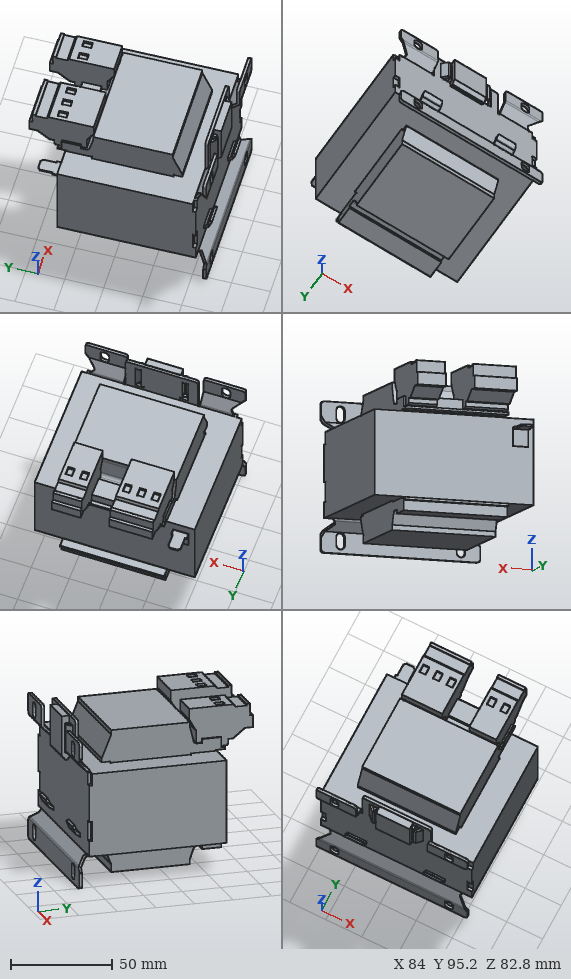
import cadquery as cq
import math


core_width = 84.0
core_length = 69.6
core_height = 43.0
core_top = core_height / 2
yoke_length = 13.9
window_width = 56.0
window_front = yoke_length
window_back = core_length - yoke_length

coil_width = 54.6
coil_gap = 0.4
coil_base = core_top + coil_gap
coil_crown_front = 14.4
coil_crown_back = 55.2
coil_back_flare = 2.3
upper_overhang = (38.2, 9.4, 23.9, 35.9, 35.6)
lower_overhang = (35.9, 10.6, 22.4, 31.8, 33.3)
bobbin_end = 73.5
bobbin_lip_thickness = 1.2
bobbin_lip_step = 0.4
bobbin_lip_base = coil_base + bobbin_lip_step
bobbin_lip_start = 68.8
bobbin_block_back = 71.5
bobbin_block_front = 61.6
bobbin_block_height = 28.7
bobbin_floor_height = 26.7
bobbin_corner_y = coil_crown_back + coil_back_flare
bobbin_corner_radius = 2.0

terminal_pitch = 7.5
terminal_top = 44.85
terminal_back = 88.3
terminal_front = coil_crown_back
terminal_front_foot = 58.7
terminal_front_bevel = (33.2, 39.2)
terminal_step_top = 43.5
terminal_step = (78.3, 79.3)
terminal_ridge = (85.0, 86.7)
terminal_ridge_top = 44.3
terminal_nose = (31.9, 38.2)
terminal_nose_front = 84.1
terminal_belly = (77.8, 27.0)
terminal_foot_back = 75.5
terminal_foot_bottom = 23.8
terminal_foot_chamfer = 0.9
terminal_blocks = ((-2 * terminal_pitch, 3), (2.5 * terminal_pitch, 2))
screw_hole_width = 3.3
screw_hole_length = 4.5
screw_hole_y = 72.1
screw_hole_depth = 1.5

tool_reach = 20.0

bend_shift = math.tan(math.radians(45 / 2))

plate_thickness = 1.6
flange_outer_y = -6.85
flange_end = 38.0
flange_corner = 1.7
flange_narrow_start = 26.7
upper_flange_inner_x = 20.0
slot_spacing_x = 63.6
slot_spacing_z = 63.6
slot_width = 4.6
slot_height = 8.2
bend_notch_tip_x = 35.6
bend_notch_radius = 1.0
bend_notch_slope = 0.9
bend_notch_reach = 8.0
bend_notch_along = 2.9
edge_notch_width = 2.7
edge_notches = ((15.5, core_top), (-13.5, -3.5))

tongue_half_width = 19.0
tongue_top = 42.1
tongue_relief_bottom = 21.0
latch_width = 18.8
latch_top = 41.7
latch_bottom = 18.7
latch_outer_y = -5.6
latch_bevel_top = 20.8
latch_bevel_y = -3.5
latch_lip_y = -2.5
latch_throat = (-2.2, 19.8)
guide_outer_x = 15.0
guide_bend_x = 12.1
guide_inner_x = 10.8
guide_outer_y = -4.4
guide_thickness = 1.0
guide_bottom = 23.4
guide_top = 38.1
slider_outer_y = -3.5
slider_bottom = 23.8

hook_centre_x = 21.85
hook_width = 10.9
hook_corner_width = 0.8
hook_corner_height = 2.2
hook_top = -9.5
hook_outline = (
    (-1.0, -16.0),
    (-plate_thickness, -15.9),
    (-3.9, -14.3),
    (-4.3, -13.6),
    (-5.6, -10.4),
    (-4.5, hook_top),
    (-3.0, -13.1),
    (-plate_thickness, -14.1),
    (-1.0, -14.5),
)

earth_x = -34.85
earth_thickness = 0.9
earth_top = 16.8
earth_leg_bottom = 7.4
earth_base_width = 8.0
earth_base_end = 72.9
earth_blade_width = 6.4
earth_blade_end = 80.7
earth_tip_chamfer = 1.2


def box(x0, x1, y0, y1, z0, z1):
    """Axis-aligned block between the given limits."""
    return cq.Workplane("XY").box(x1 - x0, y1 - y0, z1 - z0, centered=False).translate((x0, y0, z0))


def side_prism(points, x_centre, width):
    """Prism along X from (y, z) outline points."""
    return cq.Workplane("YZ", origin=(x_centre - width / 2, 0, 0)).polyline(points).close().extrude(width)


def make_core():
    """Laminated block with one window through its height."""
    core = box(-core_width / 2, core_width / 2, 0, core_length, -core_top, core_top)
    window = box(-window_width / 2, window_width / 2, window_front, window_back, -core_top, core_top)
    return core.cut(window)


def coil_end(crown, base_front, slope_foot, front_shoulder, back_shoulder):
    """Winding overhang above the core, with the bobbin shelf for the terminals."""
    points = [
        (window_front, core_top),
        (window_front, coil_base),
        (base_front, coil_base),
        (base_front, slope_foot),
        (coil_crown_front, front_shoulder),
        (coil_crown_front, crown),
        (coil_crown_back, crown),
        (coil_crown_back, back_shoulder),
        (bobbin_corner_y, bobbin_floor_height),
        (bobbin_block_front, bobbin_floor_height),
        (bobbin_block_front, bobbin_block_height),
        (bobbin_block_back, bobbin_block_height),
        (bobbin_block_back, bobbin_lip_base + bobbin_lip_thickness),
        (bobbin_end, bobbin_lip_base + bobbin_lip_thickness),
        (bobbin_end, bobbin_lip_base),
        (bobbin_lip_start, bobbin_lip_base),
        (bobbin_lip_start, coil_base),
        (window_back, coil_base),
        (window_back, core_top),
    ]
    body = side_prism(points, 0, coil_width)
    corner = cq.selectors.NearestToPointSelector((0, bobbin_corner_y, bobbin_floor_height))
    return body.edges(corner).fillet(bobbin_corner_radius)


def make_coil():
    """Winding through the core window with an overhang above and below."""
    half = coil_width / 2
    middle = box(-half, half, window_front, window_back, -core_top, core_top)
    upper = coil_end(*upper_overhang)
    lower = coil_end(*lower_overhang).mirror("XY")
    return middle.union(upper).union(lower)


def terminal_block(x_centre, poles):
    """Block of terminals seated over the bobbin shelf, with one screw hole per pole."""
    width = poles * terminal_pitch
    bevel_bottom, bevel_top = terminal_front_bevel
    belly_y, belly_z = terminal_belly
    nose_bottom, nose_top = terminal_nose
    ridge_front, ridge_back = terminal_ridge
    step_upper_y, step_lower_y = terminal_step
    points = [
        (terminal_front, terminal_top),
        (terminal_front, bevel_top),
        (terminal_front_foot, bevel_bottom),
        (terminal_front_foot, bobbin_floor_height),
        (bobbin_block_front, bobbin_floor_height),
        (bobbin_block_front, bobbin_block_height),
        (bobbin_block_back, bobbin_block_height),
        (bobbin_block_back, terminal_foot_bottom),
        (terminal_foot_back - terminal_foot_chamfer, terminal_foot_bottom),
        (terminal_foot_back, terminal_foot_bottom + terminal_foot_chamfer),
        (terminal_foot_back, belly_z),
        (belly_y, belly_z),
        (terminal_nose_front, nose_bottom),
        (terminal_back, nose_bottom),
        (terminal_back, nose_top),
        (ridge_back, nose_top),
        (ridge_back, terminal_ridge_top),
        (ridge_front, terminal_ridge_top),
        (ridge_front, terminal_step_top),
        (step_lower_y, terminal_step_top),
        (step_upper_y, terminal_top),
    ]
    block = side_prism(points, x_centre, width)
    first_x = x_centre - (poles - 1) * terminal_pitch / 2
    for pole in range(poles):
        hole = cq.Workplane("XY").box(screw_hole_width, screw_hole_length, 2 * screw_hole_depth)
        block = block.cut(hole.translate((first_x + pole * terminal_pitch, screw_hole_y, terminal_top)))
    return block


def bend_notch(side):
    """Vee cut into one end of the upper bend, square to the 45 degree sheet."""
    sheet = cq.Plane(origin=(0, 0, core_top), xDir=(1, 0, 0), normal=(0, -1, -1))
    outer_x = bend_notch_tip_x + bend_notch_reach * bend_notch_slope
    points = [
        (side * bend_notch_tip_x, bend_notch_along),
        (side * outer_x, bend_notch_along - bend_notch_reach),
        (side * outer_x, bend_notch_along + bend_notch_reach),
    ]
    tip = cq.selectors.NearestToPointSelector(sheet.toWorldCoords(points[0]).toTuple())
    vee = cq.Workplane(sheet).polyline(points).close().extrude(tool_reach, both=True)
    return vee.edges(tip).fillet(bend_notch_radius)


def flange(spans):
    """Upper bent flange: 45 degree web and upright strip, over the given x spans."""
    t = plate_thickness
    diagonal_shift = t * bend_shift
    drop = -flange_outer_y - t
    points = [
        (0, core_top - t),
        (-t, core_top - t),
        (-t, core_top),
        (flange_outer_y, core_top + drop),
        (flange_outer_y, flange_end),
        (flange_outer_y + t, flange_end),
        (flange_outer_y + t, core_top + drop + diagonal_shift),
        (0, core_top + diagonal_shift),
    ]
    body = side_prism(points, 0, core_width)
    for bend_point in ((0, flange_outer_y, core_top + drop), (0, 0, core_top + diagonal_shift)):
        body = body.edges(cq.selectors.NearestToPointSelector(bend_point)).fillet(t)
    outline = cq.Workplane("XZ", origin=(0, tool_reach, 0))
    keep = None
    for x0, x1 in spans:
        strip = outline.center((x0 + x1) / 2, (flange_narrow_start + flange_end) / 2)
        strip = strip.rect(x1 - x0, flange_end - flange_narrow_start).extrude(2 * tool_reach)
        strip = strip.edges("|Y").fillet(flange_corner)
        keep = strip if keep is None else keep.union(strip)
        web_x0 = max(x0, flange_corner - core_width / 2)
        web_x1 = min(x1, core_width / 2 - flange_corner)
        web_top = flange_narrow_start + flange_corner
        keep = keep.union(box(web_x0, web_x1, -tool_reach, tool_reach, 0, web_top))
    body = body.intersect(keep)
    for side in (-1, 1):
        body = body.cut(bend_notch(side))
        slot = cq.Workplane("XZ", origin=(side * slot_spacing_x / 2, 0, slot_spacing_z / 2))
        body = body.cut(slot.slot2D(slot_height, slot_width, 90).extrude(tool_reach, both=True))
    return body


def make_plate():
    """Mounting plate with tongue, bent flanges, edge notches and the bracket opening."""
    half = core_width / 2
    plate = box(-half, half, -plate_thickness, 0, -core_top, core_top)
    tongue = box(-tongue_half_width, tongue_half_width, -plate_thickness, 0, 0, tongue_top)
    plate = plate.union(tongue.edges("|Y and >Z").fillet(flange_corner))
    lower_flange = flange([(-half, half)]).mirror("XY")
    upper_flange = flange([(-half, -upper_flange_inner_x), (upper_flange_inner_x, half)])
    plate = plate.union(lower_flange).union(upper_flange)
    guide_opening = box(-guide_outer_x, guide_outer_x, -plate_thickness, 0, guide_bottom, guide_top)
    plate = plate.cut(guide_opening)
    for side in (-1, 1):
        relief_x = sorted((side * tongue_half_width, side * upper_flange_inner_x))
        plate = plate.cut(box(*relief_x, -plate_thickness, 0, tongue_relief_bottom, tongue_top))
        notch_x = sorted((side * (half - edge_notch_width), side * half))
        for z0, z1 in edge_notches:
            plate = plate.cut(box(*notch_x, -plate_thickness, 0, z0, z1))
    return plate


def make_guide():
    """Bracket lanced from the tongue that holds the latch, one finger on each side."""
    t = guide_thickness
    inset = t * bend_shift
    points = [
        (guide_outer_x, -plate_thickness),
        (guide_bend_x, guide_outer_y),
        (guide_inner_x, guide_outer_y),
        (guide_inner_x, guide_outer_y + t),
        (guide_bend_x - inset, guide_outer_y + t),
        (guide_outer_x - inset - plate_thickness + t, 0),
        (guide_outer_x, 0),
    ]
    finger = cq.Workplane("XY").polyline(points).close().extrude(guide_top - guide_bottom)
    finger = finger.translate((0, 0, guide_bottom))
    return finger.union(finger.mirror("YZ"))


def make_latch():
    """Latch block with the thinner slider that runs between the bracket fingers."""
    points = [
        (0, latch_top),
        (latch_outer_y, latch_top),
        (latch_outer_y, latch_bevel_top),
        (latch_bevel_y, latch_bottom),
        (latch_lip_y, latch_bottom),
        latch_throat,
        (0, latch_throat[1]),
    ]
    latch = side_prism(points, 0, latch_width)
    slider = box(-guide_inner_x, guide_inner_x, slider_outer_y, 0, slider_bottom, guide_top)
    return latch.union(slider)


def rail_hook(x_centre):
    """Bent lug on the plate, narrowed at its upper corners."""
    hook = side_prism(hook_outline, x_centre, hook_width)
    half = hook_width / 2
    outline = box(x_centre - half, x_centre + half, -tool_reach, 0, hook_top - tool_reach, hook_top)
    return hook.intersect(outline.edges("|Y and >Z").chamfer(hook_corner_height, hook_corner_width))


def make_earth_tab():
    """Angled blade terminal on the back of the core."""
    z0 = earth_top - earth_thickness
    half_base = earth_base_width / 2
    half_blade = earth_blade_width / 2
    base_x = (earth_x - half_base, earth_x + half_base)
    leg = box(*base_x, core_length, core_length + earth_thickness, earth_leg_bottom, earth_top)
    base = box(*base_x, core_length, earth_base_end, z0, earth_top)
    blade = box(earth_x - half_blade, earth_x + half_blade, core_length, earth_blade_end, z0, earth_top)
    blade = blade.edges("|Z and >Y").chamfer(earth_tip_chamfer)
    bend_edge = cq.selectors.NearestToPointSelector((earth_x, core_length, earth_top))
    return leg.union(base).union(blade).edges(bend_edge).fillet(earth_thickness)


result = make_core().union(make_coil()).union(make_plate()).union(make_guide()).union(make_latch())
for block_x, pole_count in terminal_blocks:
    result = result.union(terminal_block(block_x, pole_count))
for hook_side in (-1, 1):
    result = result.union(rail_hook(hook_side * hook_centre_x))
result = result.union(make_earth_tab())